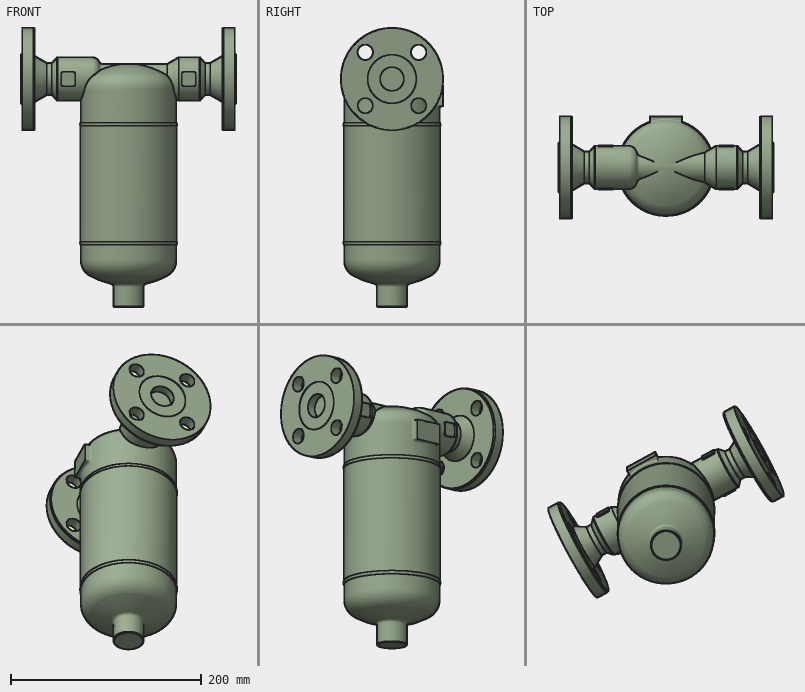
import cadquery as cq
import math

SHELL_RADIUS = 101.7 / 2
HEAD_RADIUS = 100.8 / 2
CROWN_RADIUS = 83.8
KNUCKLE_RADIUS = 18.5
UPPER_SEAM_Z = -46.0
LOWER_SEAM_Z = -174.5
SEAM_HEIGHT = 3.5
SEAM_BULGE = 0.3
LOWER_TANGENT_Z = -190.8

TOTAL_HEIGHT = 294.0

NOZZLE_RADIUS = 32.0 / 2
NOZZLE_CHAMFER = 1.0
NOZZLE_FILLET = 3.0

PIPE_RADIUS = 32.0 / 2
SOCKET_RADIUS = 46.0 / 2
SOCKET_END = 74.5
SOCKET_EDGE_LENGTH = 1.0
SOCKET_EDGE_DEPTH = 0.3
WELD_RADIUS = 34.0 / 2
WELD_START = 80.5
WELD_END = 86.0
INLET_SOCKET_START = 38.2
INLET_ROUND_RADIUS = 8.2
INLET_FILLET = 3.2
OUTLET_CONE_START = 41.0
OUTLET_CONE_END = 52.5

FLANGE_RADIUS = 108.0 / 2
FLANGE_BACK = 98.5
FLANGE_FRONT = 112.0
FLANGE_EDGE_LENGTH = 1.8
FLANGE_EDGE_DEPTH = 1.0
HUB_RADIUS = 24.5
FACE_END = 113.5
FACE_RADIUS = 25.5
BORE_DIAMETER = 25.0
BORE_DEPTH = 10.3
BOLT_DIAMETER = 16.0
BOLT_SPACING = 56.2

PAD_SIZE = 15.0
PAD_CORNER = 2.4
PAD_X = 63.5
PAD_FACE_Y = 23.2

PLATE_WIDTH = 34.0
PLATE_TOP_Z = -7.4
PLATE_BOTTOM_Z = -28.8
PLATE_CORNER = 1.8
PLATE_FACE_Y = 53.8
PLATE_FILLET = 2.0

KNUCKLE_CENTRE_RADIUS = HEAD_RADIUS - KNUCKLE_RADIUS
KNUCKLE_TO_CROWN_CENTRE = CROWN_RADIUS - KNUCKLE_RADIUS
CROWN_ANGLE = math.asin(KNUCKLE_CENTRE_RADIUS / KNUCKLE_TO_CROWN_CENTRE)
HEAD_DEPTH = CROWN_RADIUS - KNUCKLE_TO_CROWN_CENTRE * math.cos(CROWN_ANGLE)

FACE_FILLET = FACE_END - FLANGE_FRONT

UPPER_TANGENT_Z = PIPE_RADIUS - HEAD_DEPTH
NOZZLE_END_Z = FLANGE_RADIUS - TOTAL_HEIGHT


def head_point(tangent_z, direction, arc_radius, centre_radius, centre_height, angle):
    """Point on a head arc, with the angle measured from the vessel axis; direction is +1 up, -1 down."""
    radius = centre_radius + arc_radius * math.sin(angle)
    height = centre_height + arc_radius * math.cos(angle)
    return radius, tangent_z + direction * height


def head_points(tangent_z, direction):
    """Knuckle middle, knuckle end, crown middle and apex of one head."""
    crown_centre_height = HEAD_DEPTH - CROWN_RADIUS
    knuckle = (tangent_z, direction, KNUCKLE_RADIUS, KNUCKLE_CENTRE_RADIUS, 0)
    crown = (tangent_z, direction, CROWN_RADIUS, 0, crown_centre_height)
    return (
        head_point(*knuckle, (CROWN_ANGLE + math.pi / 2) / 2),
        head_point(*knuckle, CROWN_ANGLE),
        head_point(*crown, CROWN_ANGLE / 2),
        head_point(*crown, 0),
    )


def vessel():
    top_knuckle_middle, top_knuckle_end, top_crown_middle, top_apex = head_points(UPPER_TANGENT_Z, 1)
    low_knuckle_middle, low_knuckle_end, low_crown_middle, low_apex = head_points(LOWER_TANGENT_Z, -1)
    bead_radius = SHELL_RADIUS + SEAM_BULGE
    body = (
        cq.Workplane("XZ")
        .moveTo(*low_apex)
        .threePointArc(low_crown_middle, low_knuckle_end)
        .threePointArc(low_knuckle_middle, (HEAD_RADIUS, LOWER_TANGENT_Z))
        .lineTo(HEAD_RADIUS, LOWER_SEAM_Z)
        .threePointArc(
            (bead_radius, LOWER_SEAM_Z + SEAM_HEIGHT / 2),
            (SHELL_RADIUS, LOWER_SEAM_Z + SEAM_HEIGHT),
        )
        .lineTo(SHELL_RADIUS, UPPER_SEAM_Z - SEAM_HEIGHT)
        .threePointArc(
            (bead_radius, UPPER_SEAM_Z - SEAM_HEIGHT / 2),
            (HEAD_RADIUS, UPPER_SEAM_Z),
        )
        .lineTo(HEAD_RADIUS, UPPER_TANGENT_Z)
        .threePointArc(top_knuckle_middle, top_knuckle_end)
        .threePointArc(top_crown_middle, top_apex)
        .close()
        .revolve(360, (0, 0, 0), (0, 1, 0))
    )
    nozzle = (
        cq.Workplane("XY", origin=(0, 0, NOZZLE_END_Z))
        .circle(NOZZLE_RADIUS)
        .extrude(LOWER_TANGENT_Z - NOZZLE_END_Z)
        .faces("<Z")
        .chamfer(NOZZLE_CHAMFER)
    )
    joint = cq.selectors.BoxSelector(
        (-HEAD_RADIUS, -HEAD_RADIUS, low_apex[1] - NOZZLE_FILLET),
        (HEAD_RADIUS, HEAD_RADIUS, low_apex[1] + NOZZLE_FILLET),
    )
    return body.union(nozzle).edges(joint).fillet(NOZZLE_FILLET)


def inlet_profile():
    """Start of the inlet outline: plain pipe, small fillet, then the rounded end of the socket."""
    round_centre_radius = SOCKET_RADIUS - INLET_ROUND_RADIUS
    fillet_centre_radius = PIPE_RADIUS + INLET_FILLET
    reach = INLET_ROUND_RADIUS + INLET_FILLET
    slope = math.asin((fillet_centre_radius - round_centre_radius) / reach)
    fillet_x = INLET_SOCKET_START - reach * math.cos(slope)
    middle = (slope + math.pi / 2) / 2
    return (
        cq.Workplane("XY")
        .lineTo(0, PIPE_RADIUS)
        .lineTo(fillet_x, PIPE_RADIUS)
        .threePointArc(
            (
                fillet_x + INLET_FILLET * math.cos(middle),
                fillet_centre_radius - INLET_FILLET * math.sin(middle),
            ),
            (
                fillet_x + INLET_FILLET * math.cos(slope),
                fillet_centre_radius - INLET_FILLET * math.sin(slope),
            ),
        )
        .threePointArc(
            (
                INLET_SOCKET_START - INLET_ROUND_RADIUS * math.cos(middle),
                round_centre_radius + INLET_ROUND_RADIUS * math.sin(middle),
            ),
            (INLET_SOCKET_START, SOCKET_RADIUS),
        )
    )


def outlet_profile():
    """Start of the outlet outline: plain pipe, then a cone up to the socket."""
    return (
        cq.Workplane("XY")
        .lineTo(0, PIPE_RADIUS)
        .lineTo(OUTLET_CONE_START, PIPE_RADIUS)
        .lineTo(OUTLET_CONE_END, SOCKET_RADIUS)
    )


def connection(profile):
    """Socket, weld neck and flange along +X, finishing an outline that ends on the socket."""
    body = (
        profile
        .lineTo(SOCKET_END, SOCKET_RADIUS)
        .lineTo(SOCKET_END + SOCKET_EDGE_LENGTH, SOCKET_RADIUS - SOCKET_EDGE_DEPTH)
        .lineTo(WELD_START, WELD_RADIUS)
        .lineTo(WELD_END, WELD_RADIUS)
        .lineTo(FLANGE_BACK, HUB_RADIUS)
        .lineTo(FLANGE_BACK, FLANGE_RADIUS - FLANGE_EDGE_DEPTH)
        .lineTo(FLANGE_BACK + FLANGE_EDGE_LENGTH, FLANGE_RADIUS)
        .lineTo(FLANGE_FRONT, FLANGE_RADIUS)
        .lineTo(FLANGE_FRONT, FACE_RADIUS + FACE_FILLET)
        .radiusArc((FACE_END, FACE_RADIUS), -FACE_FILLET)
        .lineTo(FACE_END, 0)
        .close()
        .revolve(360, (0, 0, 0), (1, 0, 0))
    )
    pads = (
        cq.Workplane("XZ", origin=(PAD_X, 0, 0))
        .rect(PAD_SIZE, PAD_SIZE)
        .extrude(PAD_FACE_Y, both=True)
        .edges("|Y")
        .fillet(PAD_CORNER)
    )
    bolt_holes = (
        cq.Workplane("YZ", origin=(FLANGE_BACK, 0, 0))
        .rect(BOLT_SPACING, BOLT_SPACING, forConstruction=True)
        .vertices()
        .circle(BOLT_DIAMETER / 2)
        .extrude(FACE_END - FLANGE_BACK)
    )
    bore = (
        cq.Workplane("YZ", origin=(FACE_END, 0, 0))
        .circle(BORE_DIAMETER / 2)
        .extrude(-BORE_DEPTH)
    )
    return body.union(pads).cut(bolt_holes).cut(bore)


def with_nameplate(body):
    plate = (
        cq.Workplane("XZ", origin=(0, 0, (PLATE_TOP_Z + PLATE_BOTTOM_Z) / 2))
        .rect(PLATE_WIDTH, PLATE_TOP_Z - PLATE_BOTTOM_Z)
        .extrude(-PLATE_FACE_Y)
        .edges("|Y")
        .fillet(PLATE_CORNER)
    )
    joint = cq.selectors.BoxSelector(
        (-PLATE_WIDTH, HEAD_RADIUS / 2, PLATE_BOTTOM_Z - PLATE_FILLET),
        (PLATE_WIDTH, HEAD_RADIUS, PLATE_TOP_Z + PLATE_FILLET),
    )
    return body.union(plate).edges(joint).fillet(PLATE_FILLET)


inlet = connection(inlet_profile()).mirror("YZ")
outlet = connection(outlet_profile())

result = with_nameplate(vessel()).union(inlet).union(outlet)